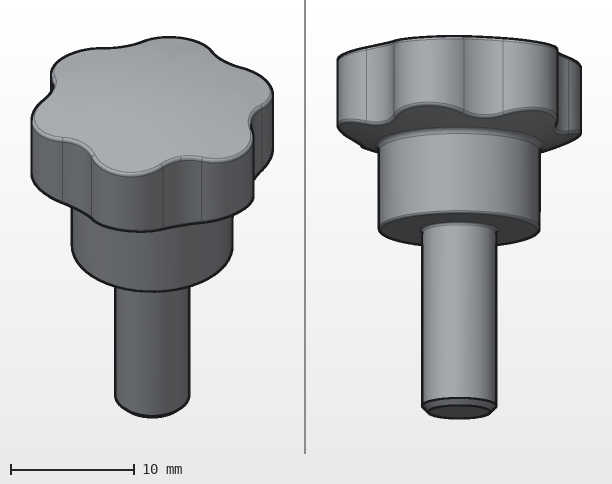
import cadquery as cq
import math

stud_diameter = 6.0
stud_length = 15.0
stud_tip_chamfer = 0.5
stud_root_fillet = 0.2

hub_diameter = 13.0
hub_edge_fillet = 0.2
hub_neck_fillet = 0.5

lobe_count = 6
head_diameter = 20.0
lobe_radius = 3.5
valley_radius = 3.5
head_edge_fillet = 0.3

head_top = 14.99
dome_radius = 45.0
bowl_bottom = 6.0
bowl_radius = 23.0

half_pitch = math.pi / lobe_count
lobe_center = head_diameter / 2 - lobe_radius
valley_center = lobe_center * math.cos(half_pitch) + math.sqrt(
    (lobe_radius + valley_radius) ** 2 - (lobe_center * math.sin(half_pitch)) ** 2
)
valley_depth_radius = valley_center - valley_radius


def polar(radius, angle):
    return (radius * math.cos(angle), radius * math.sin(angle))


def tangent_point(lobe_angle, side):
    """Point where a lobe meets the valley on its clockwise (-1) or anticlockwise (+1) side."""
    lobe_x, lobe_y = polar(lobe_center, lobe_angle)
    valley_x, valley_y = polar(valley_center, lobe_angle + side * half_pitch)
    share = lobe_radius / (lobe_radius + valley_radius)
    return (lobe_x + share * (valley_x - lobe_x), lobe_y + share * (valley_y - lobe_y))


def lobed_prism():
    """Lobed outline, one lobe pointing along +Y, swept over the height of the head."""
    first_angle = math.pi / 2
    outline = cq.Workplane("XY").workplane(offset=bowl_bottom)
    outline = outline.moveTo(*tangent_point(first_angle, -1))
    for index in range(lobe_count):
        lobe_angle = first_angle + 2 * half_pitch * index
        valley_angle = lobe_angle + half_pitch
        next_angle = lobe_angle + 2 * half_pitch
        outline = outline.threePointArc(
            polar(head_diameter / 2, lobe_angle), tangent_point(lobe_angle, 1)
        )
        outline = outline.threePointArc(
            polar(valley_depth_radius, valley_angle), tangent_point(next_angle, -1)
        )
    return outline.close().extrude(head_top - bowl_bottom)


def sphere_on_axis(radius, center_z):
    return cq.Workplane("XY").sphere(radius).translate((0, 0, center_z))


def make_head():
    """Lobed head with a domed top, a bowl-shaped underside and rounded rims."""
    dome = sphere_on_axis(dome_radius, head_top - dome_radius)
    bowl = sphere_on_axis(bowl_radius, bowl_bottom + bowl_radius)
    head = lobed_prism().intersect(dome).intersect(bowl)
    return head.edges("not |Z").fillet(head_edge_fillet)


def make_hub():
    """Cylinder rising into the head, rounded at its lower edge."""
    hub_top = (bowl_bottom + head_top) / 2
    hub = cq.Workplane("XY").circle(hub_diameter / 2).extrude(hub_top)
    return hub.faces("<Z").edges().fillet(hub_edge_fillet)


def add_neck_fillet(body):
    """Round the inner corner between the hub and the underside of the head."""
    hub_radius = hub_diameter / 2
    neck_z = bowl_bottom + bowl_radius - math.sqrt(bowl_radius**2 - hub_radius**2)
    margin = 0.05
    neck = cq.selectors.BoxSelector(
        (-hub_radius, -hub_radius, neck_z - margin),
        (hub_radius, hub_radius, neck_z + margin),
    )
    return body.edges("%CIRCLE").edges(neck).fillet(hub_neck_fillet)


def add_stud(body):
    """Stud below the hub with a chamfered tip and a rounded root."""
    stud = cq.Workplane("XY").circle(stud_diameter / 2).extrude(-stud_length)
    stud = stud.faces("<Z").edges().chamfer(stud_tip_chamfer)
    body = body.union(stud)
    smallest_circle = cq.selectors.RadiusNthSelector(0)
    hub_underside = body.faces("|Z").faces(">Z")
    return hub_underside.edges(smallest_circle).fillet(stud_root_fillet)


body = make_head().union(make_hub())
body = add_neck_fillet(body)
result = add_stud(body)